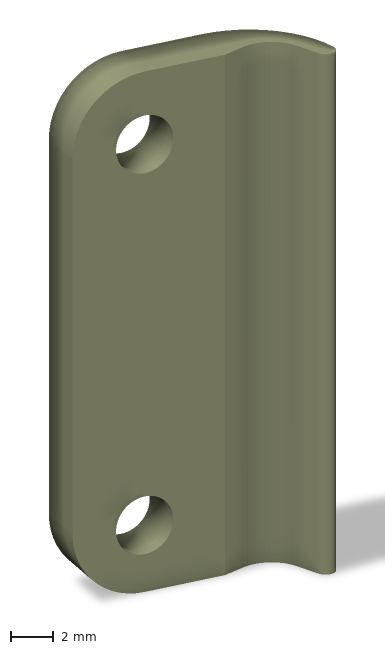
import cadquery as cq
import math

width = 4.62
depth = 12.95
height = 27.0

thickness = 2.5
flat_depth = 8.0
corner_radius = 3.78
hole_diameter = 3.0
lower_hole_height = 3.45

tip_radius = 0.5
throat_radius = 1.85
throat_x = 3.9
throat_y = 9.75


def on_circle(center, radius, angle):
    return (center[0] + radius * math.cos(angle), center[1] + radius * math.sin(angle))


def direction(start, end):
    return math.atan2(end[1] - start[1], end[0] - start[0])


tip = (width - tip_radius, depth - tip_radius)
throat = (throat_x, throat_y)

tip_rise = tip[1] - flat_depth
outer_radius = (tip[0] ** 2 + tip_rise ** 2 - tip_radius ** 2) / (2 * (tip[0] - tip_radius))
outer_center = (outer_radius, flat_depth)
tip_start_angle = direction(outer_center, tip)
outer_mid_angle = (math.pi + tip_start_angle) / 2

throat_to_tip = direction(throat, tip)
center_distance = math.dist(throat, tip)
throat_start_angle = throat_to_tip + math.acos((throat_radius + tip_radius) / center_distance)
tip_end_angle = throat_start_angle - math.pi
tip_mid_angle = (tip_start_angle + tip_end_angle) / 2

inner_edge = (thickness, flat_depth)
edge_distance = math.dist(throat, inner_edge)
throat_to_edge = direction(throat, inner_edge) + 2 * math.pi
throat_end_angle = throat_to_edge - math.acos(throat_radius / edge_distance)
throat_mid_angle = (throat_start_angle + throat_end_angle) / 2


def hooked_plate():
    return (
        cq.Workplane("XY")
        .moveTo(0, 0)
        .lineTo(0, flat_depth)
        .threePointArc(
            on_circle(outer_center, outer_radius, outer_mid_angle),
            on_circle(outer_center, outer_radius, tip_start_angle),
        )
        .threePointArc(
            on_circle(tip, tip_radius, tip_mid_angle),
            on_circle(tip, tip_radius, tip_end_angle),
        )
        .lineTo(*on_circle(throat, throat_radius, throat_start_angle))
        .threePointArc(
            on_circle(throat, throat_radius, throat_mid_angle),
            on_circle(throat, throat_radius, throat_end_angle),
        )
        .lineTo(*inner_edge)
        .lineTo(thickness, 0)
        .close()
        .extrude(height)
    )


def mounting_holes():
    centers = [(corner_radius, lower_hole_height), (corner_radius, height - corner_radius)]
    return cq.Workplane("YZ").pushPoints(centers).circle(hole_diameter / 2).extrude(thickness)


result = hooked_plate().edges("|X and <Y").fillet(corner_radius).cut(mounting_holes())